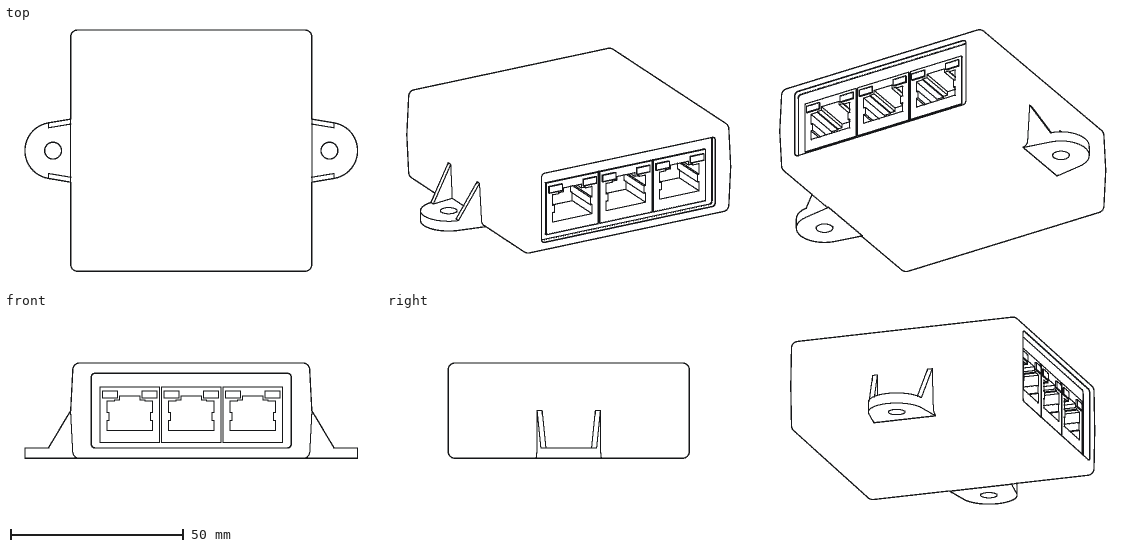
import cadquery as cq
import math

overall_length = 96.3
body_size = 69.8
body_height = 27.6
draft_angle = 3.0
parting_band = 0.2
edge_radius = 2.0

ear_hole_diameter = 4.8
ear_radius = 8.2
ear_flare_angle = 9.5
ear_thickness = 3.1
rib_thickness = 1.4

opening_width = 57.7
opening_height = 21.5
opening_corner_radius = 1.0
opening_edge_chamfer = 0.1
recess_depth = 2.0
panel_thickness = 1.9
panel_margin = 0.3

jack_count = 3
jack_pitch = 17.8
jack_width = 17.2
jack_top = 6.8
jack_bottom = -9.2
jack_length = 15.4
jack_protrusion = 0.5

socket_depth = 11.6
socket_half_width = 6.5
socket_bottom = -5.7
socket_shoulder = 2.8
step_half_width = 4.4
step_top = 3.1
latch_half_width = 3.0
latch_top = 4.2
guide_half_width = 6.0
guide_top = -0.5
guide_bottom = -2.8

light_inner = 3.6
light_outer = 7.9
light_bottom = 3.7
light_top = 5.7
light_protrusion = 0.4

half_body = body_size / 2
half_height = body_height / 2
band_top = parting_band / 2
front_y = -half_body
panel_y = front_y + recess_depth
jack_y = panel_y - jack_protrusion
ear_hole_x = overall_length / 2 - ear_radius
flare = math.radians(ear_flare_angle)
tangent_x = ear_hole_x + ear_radius * math.sin(flare)
tangent_y = ear_radius * math.cos(flare)
ear_top = -half_height + ear_thickness


def front_plane(y):
    """Sketch plane facing -Y at depth y, with local x along X and local y along Z."""
    return cq.Workplane("XZ", origin=(0, y, 0))


def box_between(x_range, y_range, z_range):
    """Box given by its two limits along each axis."""
    sides = [high - low for low, high in (x_range, y_range, z_range)]
    return cq.Workplane(cq.Solid.makeBox(*sides, cq.Vector(x_range[0], y_range[0], z_range[0])))


def upper_shell():
    """Rounded upper part of the box; its X sides lean in towards the top."""
    lean = (half_height - band_top) * math.tan(math.radians(draft_angle))
    block = (
        front_plane(half_body)
        .polyline([
            (-half_body, band_top),
            (half_body, band_top),
            (half_body - lean, half_height),
            (lean - half_body, half_height),
        ])
        .close()
        .extrude(body_size)
    )
    return block.edges("not <Z").fillet(edge_radius)


def flank_y(x):
    """Half-width of the ear where its straight flanks reach x."""
    return tangent_y + (tangent_x - x) * math.tan(flare)


def ear_outline(inner_x):
    """Ear outline on +X: flared flanks tangent to a round end."""
    return (
        cq.Workplane("XY", origin=(0, 0, -half_height))
        .moveTo(inner_x, -flank_y(inner_x))
        .lineTo(tangent_x, -tangent_y)
        .threePointArc((overall_length / 2, 0), (tangent_x, tangent_y))
        .lineTo(inner_x, flank_y(inner_x))
        .close()
    )


def ear():
    """Mounting ear on +X with its screw hole and two triangular ribs along the flanks."""
    root_x = half_body - edge_radius
    plate = ear_outline(root_x).extrude(ear_thickness)
    hole = (
        cq.Workplane("XY", origin=(ear_hole_x, 0, -half_height))
        .circle(ear_hole_diameter / 2)
        .extrude(ear_thickness)
    )

    rib_profile = (
        front_plane(half_body)
        .polyline([
            (root_x, ear_top),
            (tangent_x, ear_top),
            (half_body, 0),
            (root_x, 0),
        ])
        .close()
        .extrude(body_size)
    )
    inset = rib_thickness / math.cos(flare)
    between_ribs = (
        cq.Workplane("XY", origin=(0, 0, -half_height))
        .polyline([
            (root_x, inset - flank_y(root_x)),
            (tangent_x, inset - tangent_y),
            (tangent_x, tangent_y - inset),
            (root_x, flank_y(root_x) - inset),
        ])
        .close()
        .extrude(half_height)
    )
    ribs = ear_outline(root_x).extrude(half_height).intersect(rib_profile).cut(between_ribs)
    return plate.cut(hole).union(ribs)


def opening(y, length, margin=0.0):
    """Rounded rectangular block from depth y inwards, larger by margin all round."""
    return (
        front_plane(y)
        .rect(opening_width + 2 * margin, opening_height + 2 * margin)
        .extrude(-length)
        .edges("|Y")
        .fillet(opening_corner_radius + margin)
    )


def make_housing():
    upper = upper_shell()
    lower = upper.mirror("XY")
    band = upper.faces("<Z").wires().toPending().workplane().extrude(parting_band)
    body = upper.union(band).union(lower)
    right_ear = ear()
    body = body.union(right_ear).union(right_ear.mirror("YZ"))
    recess = opening(front_y, recess_depth)
    lead_in = (
        opening(front_y, opening_edge_chamfer, opening_edge_chamfer)
        .faces(">Y").chamfer(opening_edge_chamfer * 0.99)
    )
    return body.cut(recess).cut(lead_in)


def jack_block(x):
    return box_between(
        (x - jack_width / 2, x + jack_width / 2),
        (jack_y, jack_y + jack_length),
        (jack_bottom, jack_top),
    )


def socket(x):
    """Plug chamber with side guides, a stepped shoulder and a latch slot at the top."""
    right_side = [
        (socket_half_width, socket_bottom),
        (socket_half_width, guide_bottom),
        (guide_half_width, guide_bottom),
        (guide_half_width, guide_top),
        (socket_half_width, guide_top),
        (socket_half_width, socket_shoulder),
        (step_half_width, socket_shoulder),
        (step_half_width, step_top),
        (latch_half_width, step_top),
        (latch_half_width, latch_top),
    ]
    left_side = [(-px, pz) for px, pz in reversed(right_side)]
    return (
        front_plane(jack_y)
        .polyline(right_side + left_side)
        .close()
        .extrude(-socket_depth)
        .translate((x, 0, 0))
    )


def make_jack(x):
    jack = jack_block(x).cut(socket(x))
    for near, far in ((light_inner, light_outer), (-light_outer, -light_inner)):
        light = box_between(
            (x + near, x + far),
            (jack_y - light_protrusion, jack_y),
            (light_bottom, light_top),
        )
        jack = jack.union(light)
    return jack


jack_places = [(i - (jack_count - 1) / 2) * jack_pitch for i in range(jack_count)]

housing = make_housing()
panel = opening(panel_y, panel_thickness, panel_margin)
housing = housing.cut(panel)
jacks = []
for jack_x in jack_places:
    housing = housing.cut(jack_block(jack_x))
    panel = panel.cut(jack_block(jack_x))
    jacks.append(make_jack(jack_x))

result = cq.Compound.makeCompound([housing.val(), panel.val(), *[jack.val() for jack in jacks]])